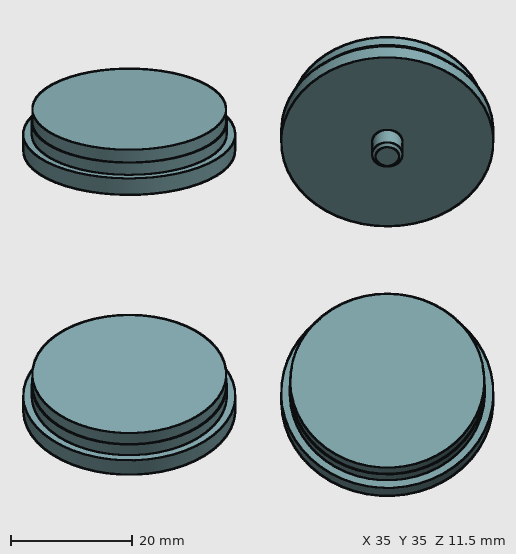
import cadquery as cq

flange_diameter = 35.0
flange_height = 3.0

lower_step_diameter = 32.2
lower_step_height = 2.2
upper_step_diameter = 32.0
upper_step_height = 2.3

pin_diameter = 5.0
pin_length = 4.0
pin_chamfer = 0.55


def add_disc(body, diameter, height):
    """Stack a disc centred on the top face of the body."""
    return body.faces(">Z").workplane().circle(diameter / 2).extrude(height)


def make_pin():
    """Pin hanging from the flange underside."""
    pin = cq.Workplane("XY").circle(pin_diameter / 2).extrude(-pin_length)
    return pin.faces("<Z").chamfer(pin_chamfer)


body = cq.Workplane("XY").circle(flange_diameter / 2).extrude(flange_height)
body = add_disc(body, lower_step_diameter, lower_step_height)
body = add_disc(body, upper_step_diameter, upper_step_height)

result = body.union(make_pin())